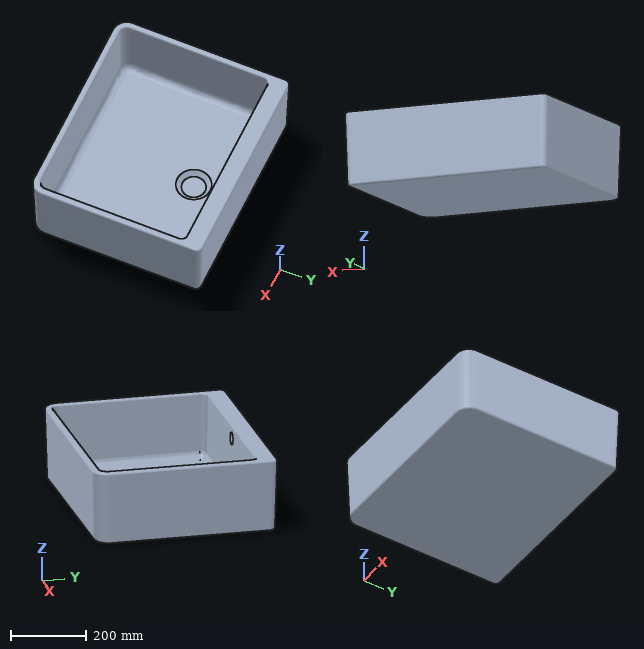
import cadquery as cq
import math

width = 594.5
depth = 499.5
height = 200.0
outer_draft = math.tan(math.radians(1.5))
outer_front_radius = 40.5
outer_back_radius = 16.0
edge_round = 6.0

rim_width = 20.0
ledge_depth = 53.5
basin_depth = 180.0
basin_draft = math.tan(math.radians(1.3))
basin_front_radius = 22.0
basin_back_radius = 16.0
floor_round = 20.0
rim_round = 5.65

drain_top_diameter = 95.0
drain_bottom_diameter = 65.5
drain_depth = 12.0
drain_from_back = 150.5

overflow_diameter = 32.0
overflow_depth = 15.0
overflow_below_rim = 35.5

floor_z = height - basin_depth
back_y = depth / 2


def rounded_outline(workplane, half_width, front_y, rear_y, front_radius, rear_radius):
    """Closed rectangle with one radius on its front corners and one on its rear corners."""
    diagonal = 1 - math.sqrt(0.5)
    front_mid = front_radius * diagonal
    rear_mid = rear_radius * diagonal
    return (
        workplane.moveTo(-half_width + front_radius, front_y)
        .lineTo(half_width - front_radius, front_y)
        .threePointArc(
            (half_width - front_mid, front_y + front_mid),
            (half_width, front_y + front_radius),
        )
        .lineTo(half_width, rear_y - rear_radius)
        .threePointArc(
            (half_width - rear_mid, rear_y - rear_mid),
            (half_width - rear_radius, rear_y),
        )
        .lineTo(-half_width + rear_radius, rear_y)
        .threePointArc(
            (-half_width + rear_mid, rear_y - rear_mid),
            (-half_width, rear_y - rear_radius),
        )
        .lineTo(-half_width, front_y + front_radius)
        .threePointArc(
            (-half_width + front_mid, front_y + front_mid),
            (-half_width + front_radius, front_y),
        )
        .close()
    )


def drafted_block(bottom_z, top_z, half_width, front_y, rear_y, radii, draft):
    """Block of the given size at the top whose sides lean inward toward the bottom."""
    inset = (top_z - bottom_z) * draft
    bottom = rounded_outline(
        cq.Workplane("XY").workplane(offset=bottom_z),
        half_width - inset, front_y + inset, rear_y - inset, *radii,
    )
    outlines = rounded_outline(
        bottom.workplane(offset=top_z - bottom_z), half_width, front_y, rear_y, *radii
    )
    return outlines.loft(ruled=True)


def outer_body():
    growth = edge_round * outer_draft
    block = drafted_block(
        0, height, width / 2 + growth, -depth / 2 - growth, back_y + growth,
        (outer_front_radius, outer_back_radius), outer_draft,
    )
    return block.faces("<Z or >Z").edges().fillet(edge_round)


def basin():
    cavity = drafted_block(
        floor_z, height, width / 2 - rim_width, rim_width - depth / 2, back_y - ledge_depth,
        (basin_front_radius, basin_back_radius), basin_draft,
    )
    return cavity.faces("<Z").edges().fillet(floor_round)


def drain():
    return (
        cq.Workplane("XY", origin=(0, back_y - drain_from_back, floor_z - drain_depth))
        .circle(drain_bottom_diameter / 2)
        .workplane(offset=drain_depth)
        .circle(drain_top_diameter / 2)
        .loft(ruled=True)
    )


def overflow():
    wall_y = back_y - ledge_depth - overflow_below_rim * basin_draft
    return (
        cq.Workplane("XZ", origin=(0, wall_y + overflow_depth, height - overflow_below_rim))
        .circle(overflow_diameter / 2)
        .extrude(2 * overflow_depth)
    )


sink = outer_body().cut(basin())
rim_wires = sink.faces(">Z").wires().vals()
inner_rim = min(rim_wires, key=lambda wire: wire.BoundingBox().xlen)
sink = sink.newObject(inner_rim.Edges()).fillet(rim_round)
result = sink.cut(drain()).cut(overflow())